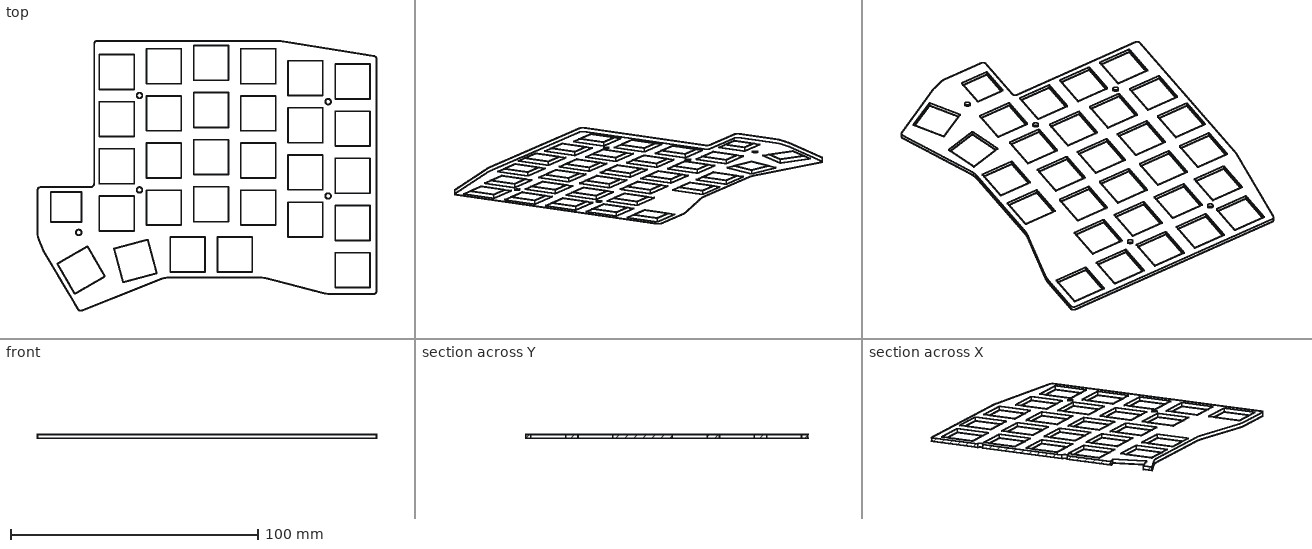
import cadquery as cq

length = 137.2
width = 109.2
thickness = 1.6
left, right = -length / 2, length / 2
front, back = -width / 2, width / 2

main_left = -45.7
shoulder_y = -4.5
thumb_back_y = -24.4
thumb_bend = (-66.1, -30.5)
thumb_tip_x = -51.6
tip_trim = 0.34
thumb_front_x = -17.0
front_y = -41.2
right_front_y = -47.9
front_slope_start_x = 22.8
front_slope_end_x = 48.5
back_slope_x = 29.4
right_back_y = 48.3

corner_radius = 1.4
thumb_back_radius = 6.9
thumb_front_radius = 9.6
slope_radius = 13.7

key_size = 14.0
key_pitch = 19.0
first_column_x = -36.5
back_row_y = [42.0, 44.3, 45.7, 44.3, 39.5, 38.1]
keys_in_column = [4, 4, 4, 4, 4, 5]

straight_thumb_x = -7.8
straight_thumb_y = -31.8
thumb_keys = [
    (straight_thumb_x, straight_thumb_y, 0),
    (straight_thumb_x + key_pitch, straight_thumb_y, 0),
    (-29.0, -34.4, 15),
    (-50.9, -38.1, 30),
]

window_length = 12.3
window_width = 12.0
window_center = (-56.9, -12.6)

hole_diameter = 2.2
thumb_hole = (-51.9, -22.9)
hole_columns = [0, 4]
hole_offset_x = 9.2
hole_row_step = 2


def column_x(column):
    return first_column_x + column * key_pitch


def make_plate():
    corners = [
        (main_left, back, corner_radius),
        (back_slope_x, back, slope_radius),
        (right, right_back_y, corner_radius),
        (right, right_front_y, corner_radius),
        (front_slope_end_x, right_front_y, slope_radius),
        (front_slope_start_x, front_y, slope_radius),
        (thumb_front_x, front_y, thumb_front_radius),
        (thumb_tip_x, front - tip_trim, corner_radius),
        (*thumb_bend, 0),
        (left, thumb_back_y, thumb_back_radius),
        (left, shoulder_y, corner_radius),
        (main_left, shoulder_y, corner_radius),
    ]
    outline = [(x, y) for x, y, _ in corners]
    plate = cq.Workplane("XY").polyline(outline).close().extrude(thickness)
    for x, y, radius in corners:
        if radius > 0:
            nearest = cq.selectors.NearestToPointSelector((x, y, thickness / 2))
            plate = plate.edges("|Z").edges(nearest).fillet(radius)
    return plate


def make_cutout(center, size_x, size_y, tilt=0):
    block = cq.Workplane("XY").box(size_x, size_y, thickness, centered=(True, True, False))
    return block.rotate((0, 0, 0), (0, 0, 1), tilt).translate((*center, 0))


def cut_keys(plate):
    for column, (back_y, count) in enumerate(zip(back_row_y, keys_in_column)):
        for row in range(count):
            center = (column_x(column), back_y - row * key_pitch)
            plate = plate.cut(make_cutout(center, key_size, key_size))
    for x, y, tilt in thumb_keys:
        plate = plate.cut(make_cutout((x, y), key_size, key_size, tilt))
    return plate


def cut_window(plate):
    return plate.cut(make_cutout(window_center, window_length, window_width))


def drill_holes(plate):
    centers = [thumb_hole]
    for column in hole_columns:
        x = column_x(column) + hole_offset_x
        y = back_row_y[column] - key_pitch / 2
        centers.append((x, y))
        centers.append((x, y - hole_row_step * key_pitch))
    pins = cq.Workplane("XY").pushPoints(centers).circle(hole_diameter / 2).extrude(thickness)
    return plate.cut(pins)


result = drill_holes(cut_window(cut_keys(make_plate())))